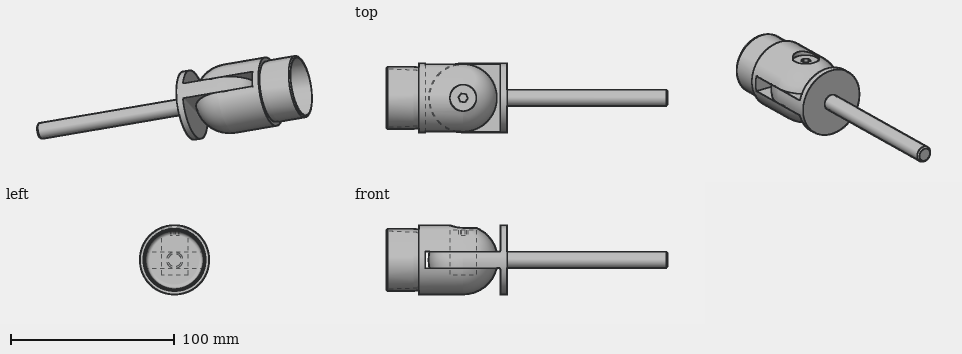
import cadquery as cq
import math

total_length = 172.0
outer_diameter = 42.5
outer_radius = outer_diameter / 2
ball_diagonal = outer_radius * math.sqrt(0.5)

cup_radius = 19.1
cup_chamfer = 0.9
neck_start_x = 16.7
neck_end_x = 19.3
neck_radius = 18.7
shoulder_x = 20.0
pivot_x = 47.0

mouth_radius = 17.9
bore_end_radius = 17.0
floor_x = 20.0
floor_fillet = 2.0

slot_start_x = 23.9
slot_width = 10.0

screw_radius = 8.0
screw_top_z = 18.4
screw_length = 27.5
hex_across_corners = 5.8
hex_sides = 6
hex_depth = 3.5
hex_rotation = -8.0

flange_start_x = 69.7
flange_end_x = 73.8
flange_fillet = 1.0

rod_radius = slot_width / 2
rod_chamfer = 1.0


def x_cylinder(radius, start_x, end_x):
    """Solid cylinder around the X axis."""
    return cq.Workplane("YZ").workplane(offset=start_x).circle(radius).extrude(end_x - start_x)


def z_cylinder(radius, bottom_z, top_z):
    """Solid cylinder parallel to Z through the pivot."""
    return (
        cq.Workplane("XY")
        .workplane(offset=bottom_z)
        .center(pivot_x, 0)
        .circle(radius)
        .extrude(top_z - bottom_z)
    )


def revolve_about_x(profile):
    """Close a half profile along the X axis and turn it into a solid."""
    return profile.close().revolve(360, (0, 0, 0), (1, 0, 0))


def make_housing():
    """Turned shell with the cup bore, the fork slot and the screw hole cut out."""
    body = revolve_about_x(
        cq.Workplane("XY")
        .moveTo(0, 0)
        .lineTo(0, cup_radius - cup_chamfer)
        .lineTo(cup_chamfer, cup_radius)
        .lineTo(neck_start_x, cup_radius)
        .lineTo(neck_end_x, neck_radius)
        .lineTo(shoulder_x, neck_radius)
        .lineTo(shoulder_x, outer_radius)
        .lineTo(pivot_x, outer_radius)
        .threePointArc(
            (pivot_x + ball_diagonal, ball_diagonal),
            (pivot_x + outer_radius, 0),
        )
    )
    bore_blank = revolve_about_x(
        cq.Workplane("XY")
        .moveTo(0, 0)
        .lineTo(0, mouth_radius)
        .lineTo(floor_x, bore_end_radius)
        .lineTo(floor_x, 0)
    )
    bore = bore_blank.faces(">X").edges().fillet(floor_fillet)
    slot = (
        cq.Workplane("XY")
        .box(flange_start_x - slot_start_x, outer_diameter, slot_width, centered=(False, True, True))
        .translate((slot_start_x, 0, 0))
    )
    screw_hole = z_cylinder(screw_radius, screw_top_z - screw_length, outer_radius)
    return body.cut(bore).cut(slot).cut(screw_hole)


def make_arm():
    """Flat tongue with a ball-shaped end, blended into a round flange."""
    envelope = revolve_about_x(
        cq.Workplane("XY")
        .moveTo(pivot_x - outer_radius, 0)
        .threePointArc((pivot_x - ball_diagonal, ball_diagonal), (pivot_x, outer_radius))
        .lineTo(flange_end_x, outer_radius)
        .lineTo(flange_end_x, 0)
    )
    tongue_half = slot_width / 2
    blank = (
        cq.Workplane("XZ")
        .moveTo(0, -tongue_half)
        .lineTo(flange_start_x, -tongue_half)
        .lineTo(flange_start_x, -outer_radius)
        .lineTo(flange_end_x, -outer_radius)
        .lineTo(flange_end_x, outer_radius)
        .lineTo(flange_start_x, outer_radius)
        .lineTo(flange_start_x, tongue_half)
        .lineTo(0, tongue_half)
        .close()
        .extrude(outer_radius, both=True)
    )
    inner_corners = cq.selectors.BoxSelector(
        (flange_start_x - flange_fillet, -outer_radius, -slot_width),
        (flange_start_x + flange_fillet, outer_radius, slot_width),
    )
    blank = blank.edges("|Y").edges(inner_corners).fillet(flange_fillet)
    screw_hole = z_cylinder(screw_radius, -slot_width, slot_width)
    return envelope.intersect(blank).cut(screw_hole)


def make_rod():
    """Plain rod standing on the flange, chamfered at the free end."""
    rod = x_cylinder(rod_radius, flange_end_x, total_length)
    return rod.faces(">X").chamfer(rod_chamfer)


def make_screw():
    """Pivot screw through the tongue, with a hexagon socket in its sunk head."""
    screw = z_cylinder(screw_radius, screw_top_z - screw_length, screw_top_z)
    socket = (
        cq.Workplane("XY")
        .polygon(hex_sides, hex_across_corners)
        .extrude(-hex_depth)
        .rotate((0, 0, 0), (0, 0, 1), hex_rotation)
        .translate((pivot_x, 0, screw_top_z))
    )
    return screw.cut(socket)


housing = make_housing()
arm = make_arm()
rod = make_rod()
screw = make_screw()

result = cq.Compound.makeCompound([housing.val(), arm.val(), rod.val(), screw.val()])